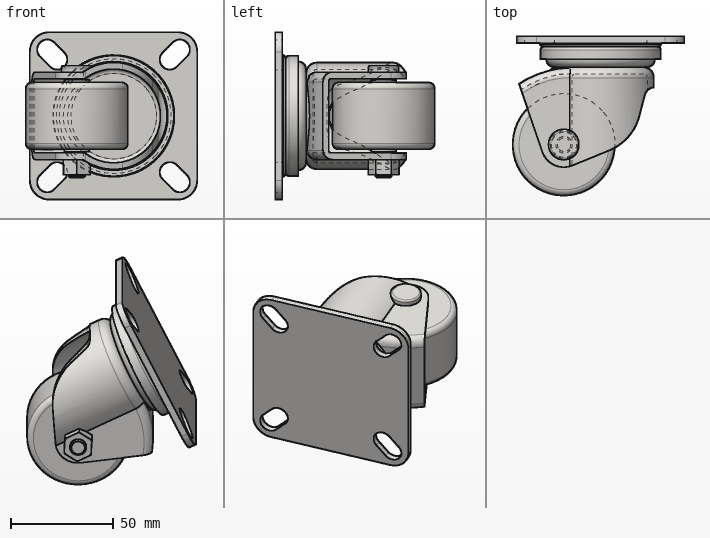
import cadquery as cq
import math


overall_length = 84.0
overall_depth = 78.0

plate_size = 82.0
plate_thickness = 3.45
plate_corner_radius = 9.6
slot_reach = 30.0
slot_half_travel = 2.4
slot_width = 9.75

seat_radius = 29.8
seat_rim = 0.4
seat_round = 2.5
groove_radius = 28.05
groove_depth = 5.2
ring_radius = 29.5
ring_round = 1.5
ring_end_depth = 11.25
dome_radius = 26.6
dome_round = 3.9

fork_top_depth = ring_end_depth + dome_round
fork_radius = 26.1
fork_round = 5.2
fork_wall = 3.2
inner_round = 2.0
arm_half_width = 21.3
arm_round = 4.5
arm_inner_round = 1.5
arm_roof_depth = 15.6
arm_roof_wall = 2.8
arm_arc_start = -14.6
arm_tip = (-39.9, -23.35)
boss_radius = 11.1
skirt_corner = (15.9, -51.15)
skirt_corner_radius = 25.0
notch_corner = (22.7, -25.1)
notch_radius = 4.9

wheel_radius = 25.0
wheel_width = 32.8
wheel_round = 3.0
axle_x = plate_size / 2 - overall_length + wheel_radius
axle_y = wheel_radius - overall_depth
axle_radius = 4.0
hub_radius = 6.1
hub_width = 35.3
head_radius = 7.5
head_height = 3.2
head_round = 0.9
nut_flats = 13.2
nut_height = 7.6
nut_chamfer = 0.3
axle_tip = 1.35
axle_tip_chamfer = 0.75

overshoot = 16.8
arm_margin = 1.7


def plate():
    body = cq.Workplane("XZ").rect(plate_size, plate_size).extrude(plate_thickness)
    body = body.edges("|Y").fillet(plate_corner_radius)
    slot_length = 2 * math.sqrt(2) * slot_half_travel + slot_width
    for side_x in (-1, 1):
        for side_z in (-1, 1):
            slot = (
                cq.Workplane("XZ")
                .center(side_x * slot_reach, side_z * slot_reach)
                .slot2D(slot_length, slot_width, 45 * side_x * side_z)
                .extrude(plate_thickness)
            )
            body = body.cut(slot)
    return body


def swivel_bearing():
    corner = math.sqrt(0.5)
    return (
        cq.Workplane("XY")
        .moveTo(0, -plate_thickness)
        .lineTo(seat_radius, -plate_thickness)
        .lineTo(seat_radius, -plate_thickness - seat_rim)
        .radiusArc((groove_radius, -groove_depth), seat_round)
        .radiusArc((ring_radius, -groove_depth - ring_round), ring_round)
        .lineTo(ring_radius, -ring_end_depth)
        .lineTo(dome_radius, -ring_end_depth)
        .threePointArc(
            (dome_radius - dome_round * (1 - corner), -ring_end_depth - dome_round * corner),
            (dome_radius - dome_round, -fork_top_depth),
        )
        .lineTo(0, -fork_top_depth)
        .close()
        .revolve(360, (0, 0, 0), (0, 1, 0))
    )


def tangent_point(outside, side):
    """Point where a line from `outside` touches the arm boss, on the chosen side (+1 or -1)."""
    dx = outside[0] - axle_x
    dy = outside[1] - axle_y
    angle = math.atan2(dy, dx) + side * math.acos(boss_radius / math.hypot(dx, dy))
    return axle_x + boss_radius * math.cos(angle), axle_y + boss_radius * math.sin(angle)


def cup(radius, top_depth, top_round):
    """Round plug about the swivel axis with a rounded rim on its plate side."""
    height = -axle_y + boss_radius + overshoot - top_depth
    body = cq.Workplane("XZ", origin=(0, -top_depth, 0)).circle(radius).extrude(height)
    return body.faces(">Y").edges().fillet(top_round)


def arm_block(half_width, roof_offset, edge_round):
    """Block under the drooping arm roof, moved inwards from the roof by `roof_offset`."""
    run = arm_arc_start - arm_tip[0]
    droop = -arm_tip[1] - arm_roof_depth
    roof_radius = (run**2 + droop**2) / (2 * droop)
    centre_y = -arm_roof_depth - roof_radius
    radius = roof_radius - roof_offset
    front_x = arm_tip[0] - arm_margin
    mid_x = (front_x + arm_arc_start) / 2
    floor_y = axle_y - boss_radius - overshoot

    def roof_y(x):
        return centre_y + math.sqrt(radius**2 - (x - arm_arc_start) ** 2)

    return (
        cq.Workplane("XY", origin=(0, 0, -half_width))
        .moveTo(front_x, floor_y)
        .lineTo(front_x, roof_y(front_x))
        .threePointArc((mid_x, roof_y(mid_x)), (arm_arc_start, centre_y + radius))
        .lineTo(0, centre_y + radius)
        .lineTo(0, floor_y)
        .close()
        .extrude(2 * half_width)
        .edges("%CIRCLE")
        .fillet(edge_round)
    )


def fork_outline():
    """Side shape of the fork, as a prism through its whole width."""
    front = tangent_point(arm_tip, 1)
    back = tangent_point(skirt_corner, -1)
    far_x = fork_radius + overshoot
    boss_bottom = (axle_x, axle_y - boss_radius)
    prism = (
        cq.Workplane("XY", origin=(0, 0, -fork_radius))
        .moveTo(far_x, 0)
        .lineTo(arm_tip[0], 0)
        .lineTo(*arm_tip)
        .lineTo(*front)
        .threePointArc(boss_bottom, back)
        .lineTo(*skirt_corner)
        .lineTo(*notch_corner)
        .lineTo(far_x, notch_corner[1])
        .close()
        .extrude(2 * fork_radius)
    )
    for corner, radius in ((skirt_corner, skirt_corner_radius), (notch_corner, notch_radius)):
        prism = prism.edges(cq.NearestToPointSelector((*corner, 0))).fillet(radius)
    return prism


def fork():
    outside = cup(fork_radius, fork_top_depth, fork_round)
    outside = outside.union(arm_block(arm_half_width, 0, arm_round))
    cavity = cup(fork_radius - fork_wall, fork_top_depth + fork_wall, inner_round)
    cavity = cavity.union(arm_block(arm_half_width - fork_wall, arm_roof_wall, arm_inner_round))
    return outside.cut(cavity).intersect(fork_outline())


def axle_plane(z):
    return cq.Workplane("XY", origin=(axle_x, axle_y, z))


def wheel():
    tyre = axle_plane(-wheel_width / 2).circle(wheel_radius).extrude(wheel_width)
    tyre = tyre.edges().fillet(wheel_round)
    hub = axle_plane(-hub_width / 2).circle(hub_radius).extrude(hub_width)
    return tyre.union(hub)


def axle():
    head = axle_plane(arm_half_width).circle(head_radius).extrude(head_height)
    head = head.faces(">Z").edges().fillet(head_round)

    nut_bottom = -arm_half_width - nut_height
    nut_corners = nut_flats / math.cos(math.pi / 6)
    nut = (
        axle_plane(nut_bottom)
        .transformed(rotate=(0, 0, 90))
        .polygon(6, nut_corners)
        .extrude(nut_height)
    )
    nut_envelope = axle_plane(nut_bottom).circle(nut_corners / 2).extrude(nut_height)
    nut_envelope = nut_envelope.faces("<Z").edges().chamfer(nut_chamfer)
    nut = nut.intersect(nut_envelope)

    shank_bottom = nut_bottom - axle_tip
    shank = axle_plane(shank_bottom).circle(axle_radius).extrude(arm_half_width - shank_bottom)
    shank = shank.faces("<Z").edges().chamfer(axle_tip_chamfer)
    return shank.union(head).union(nut)


result = plate().union(swivel_bearing()).union(fork()).union(wheel()).union(axle())